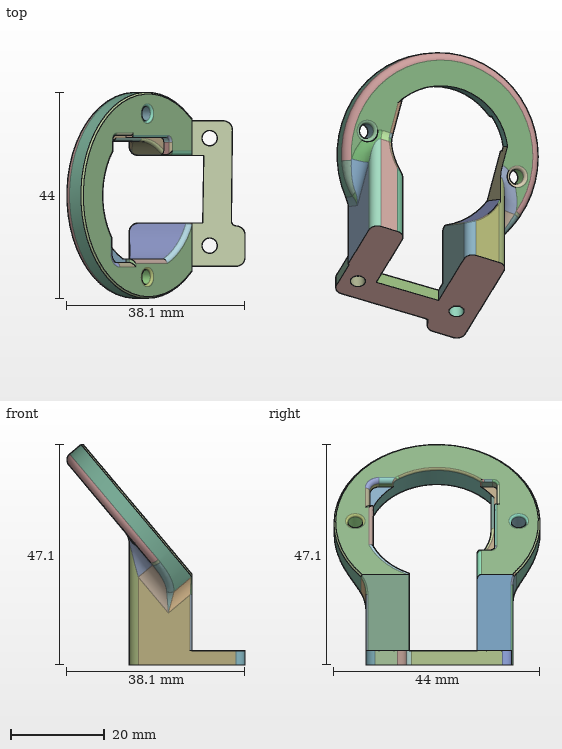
import cadquery as cq
import math

total_height = 47.1

post_depth = 13.45
left_post_inner_y = 8.47
left_post_outer_y = 16.2
right_post_inner_y = -5.9
right_post_outer_y = -15.15
post_corner_radius = 2.0
post_back_edge_radius = 0.42

left_blend_radius = 3.0
right_blend_radius = 4.0

foot_height = 3.1
foot_left_y = 15.9
foot_end_x = 22.1
foot_tab_end_x = 24.75
foot_tab_y = -6.5
foot_notch_x = 15.9
foot_skew = 0.25
foot_corner_radius = 2.0
foot_inner_corner_radius = 1.0
foot_hole_diameter = 3.2
foot_hole_x = 17.2
foot_hole_ys = (12.2, -10.75)

ring_tilt = 50
ring_centre_x = 4.15
ring_radius = 22.0
ring_thickness = 5.2
ring_top_chamfer = 0.4
ring_bottom_fillet = 1.65
ring_hole_diameter = 3.1
ring_hole_x = -0.35
ring_hole_y = 17.4
ring_hole_top_round = 0.5
ring_hole_bottom_round = 0.75

opening_radius = 14.85
opening_left_y = 11.5
opening_right_y = -13.55

pocket_depth = 2.0
pocket_start_x = -11.5
pocket_step_x = -5.15
left_pocket_y = 12.8
left_shelf_y = 12.3
left_shelf_end_x = 7.45
right_pocket_y = -14.3
left_pocket_corner = 1.0
right_pocket_corner = 2.0

right_mouth_round = 1.0
left_mouth_round = 0.45
slot_round = 1.0
shelf_floor_round = 0.7
left_scoop_round = 0.95
right_scoop_round = 0.3

spare_height = 14.12
cut_reach = 70.6
tolerance = 0.005

tilt = math.radians(ring_tilt)
ring_centre_z = total_height - ring_radius * math.sin(tilt) + ring_top_chamfer * math.cos(tilt)
ring_plane = cq.Plane(
    origin=(ring_centre_x, 0, ring_centre_z),
    xDir=(math.cos(tilt), 0, -math.sin(tilt)),
    normal=(math.sin(tilt), 0, math.cos(tilt)),
)


def ring_work(height=0):
    return cq.Workplane(ring_plane).workplane(offset=height)


def space_above(height):
    """Everything over the given height in the ring frame."""
    return ring_work(height).rect(2 * cut_reach, 2 * cut_reach).extrude(cut_reach)


def block(x_range, y_range, z_range):
    """Axis-aligned box between the given limits."""
    size = [high - low for low, high in (x_range, y_range, z_range)]
    corner = (x_range[0], y_range[0], z_range[0])
    return cq.Workplane("XY").box(*size, centered=False).translate(corner)


def near(value, target):
    return abs(value - target) < tolerance


def on_circle(local, radius):
    """True for a ring-frame point at the given distance from the ring axis."""
    return near(math.hypot(local.x, local.y), radius)


def select_edges(body, is_wanted):
    """Edges whose start, middle and end all satisfy is_wanted(global point, ring-frame point)."""
    chosen = []
    for edge in body.val().Edges():
        points = [edge.positionAt(fraction) for fraction in (0, 0.5, 1)]
        if all(is_wanted(point, ring_plane.toLocalCoords(point)) for point in points):
            chosen.append(edge)
    return body.newObject(chosen)


def round_edges(body, radius, is_wanted):
    return select_edges(body, is_wanted).fillet(radius)


def make_post(inner_y, outer_y):
    """Post with rounded front corners, running on past its back face until it is trimmed."""
    y_range = sorted((inner_y, outer_y))
    post = block((0, 2 * post_depth), y_range, (0, cut_reach))
    return post.edges("|Z and <X").fillet(post_corner_radius).cut(space_above(spare_height))


def make_blended_blank():
    """Untrimmed posts and disc, with hollow blends where the post flanks meet the disc."""
    blank = ring_work(-ring_thickness).circle(ring_radius).extrude(ring_thickness + spare_height)
    blank = blank.union(make_post(left_post_inner_y, left_post_outer_y))
    blank = blank.union(make_post(right_post_inner_y, right_post_outer_y))

    def blend(body, outer_y, radius):
        def is_joint(point, local):
            under_or_beside = near(local.z, -ring_thickness) or on_circle(local, ring_radius)
            return near(point.y, outer_y) and under_or_beside

        return round_edges(body, radius, is_joint)

    blank = blend(blank, right_post_outer_y, right_blend_radius)
    return blend(blank, left_post_outer_y, left_blend_radius)


def finish_rim(blank):
    """Cut the ring to height, round its lower rim and chamfer its upper rim."""
    body = blank.cut(space_above(0))
    body = round_edges(
        body,
        ring_bottom_fillet,
        lambda point, local: near(local.z, -ring_thickness) and on_circle(local, ring_radius),
    )
    upper_rim = select_edges(
        body, lambda point, local: near(local.z, 0) and on_circle(local, ring_radius)
    )
    return upper_rim.chamfer(ring_top_chamfer)


def make_opening():
    """Cutter along the ring axis, which also scoops out the post flanks."""
    left_x = math.sqrt(opening_radius**2 - opening_left_y**2)
    right_x = math.sqrt(opening_radius**2 - opening_right_y**2)
    half_angle = math.asin(opening_right_y / opening_radius) / 2
    small_arc_mid = opening_left_y * math.sqrt(0.5)
    large_arc_mid = (opening_radius * math.cos(half_angle), opening_radius * math.sin(half_angle))
    return (
        ring_work()
        .moveTo(-left_x, opening_left_y)
        .lineTo(0, opening_left_y)
        .threePointArc((small_arc_mid, small_arc_mid), (opening_left_y, 0))
        .lineTo(opening_radius, 0)
        .threePointArc(large_arc_mid, (right_x, opening_right_y))
        .lineTo(-right_x, opening_right_y)
        .threePointArc((-opening_radius, 0), (-left_x, opening_left_y))
        .close()
        .extrude(-cut_reach)
    )


def make_pocket(start_x, end_x, wall_y, rounded_x, corner_radius):
    """Pocket from the ring's middle out to wall_y, with its outer corner at rounded_x rounded."""
    pocket = (
        ring_work()
        .moveTo(start_x, 0)
        .lineTo(end_x, 0)
        .lineTo(end_x, wall_y)
        .lineTo(start_x, wall_y)
        .close()
        .extrude(-pocket_depth)
    )
    return round_edges(
        pocket,
        corner_radius,
        lambda point, local: near(local.x, rounded_x) and near(local.y, wall_y),
    )


def make_ring_hole(y):
    """Cutter for one ring hole, flared by a round at both mouths."""
    radius = ring_hole_diameter / 2
    top, bottom = ring_hole_top_round, ring_hole_bottom_round
    arc_inset = 1 - math.sqrt(0.5)
    axis_plane = cq.Plane(
        origin=ring_plane.toWorldCoords((ring_hole_x, y, 0)),
        xDir=ring_plane.yDir,
        normal=ring_plane.xDir,
    )
    return (
        cq.Workplane(axis_plane)
        .lineTo(radius + top, 0)
        .threePointArc((radius + top * arc_inset, -top * arc_inset), (radius, -top))
        .lineTo(radius, bottom - ring_thickness)
        .threePointArc(
            (radius + bottom * arc_inset, bottom * arc_inset - ring_thickness),
            (radius + bottom, -ring_thickness),
        )
        .lineTo(radius + bottom, -2 * ring_thickness)
        .lineTo(0, -2 * ring_thickness)
        .close()
        .revolve(360, (0, 0), (0, 1))
    )


def make_foot():
    """Plate joining the posts, with a tab on the -Y side and two screw holes."""
    overlap_x = post_depth - post_corner_radius
    inner_corner = (foot_end_x - foot_skew, foot_tab_y)
    outer_corners = [
        (foot_end_x, foot_left_y),
        (foot_tab_end_x, foot_tab_y),
        (foot_tab_end_x, right_post_outer_y),
    ]
    outline = [
        (overlap_x, foot_left_y),
        outer_corners[0],
        inner_corner,
        outer_corners[1],
        outer_corners[2],
        (overlap_x, right_post_outer_y),
        (overlap_x, right_post_inner_y),
        (foot_notch_x - foot_skew, right_post_inner_y),
        (foot_notch_x, left_post_inner_y),
        (overlap_x, left_post_inner_y),
    ]
    foot = cq.Workplane("XY").polyline(outline).close().extrude(foot_height)

    corner_radii = [(corner, foot_corner_radius) for corner in outer_corners]
    corner_radii.append((inner_corner, foot_inner_corner_radius))
    for (x, y), radius in corner_radii:
        foot = round_edges(foot, radius, lambda point, local: near(point.x, x) and near(point.y, y))

    hole_centres = [(foot_hole_x, y) for y in foot_hole_ys]
    holes = cq.Workplane("XY").pushPoints(hole_centres).circle(foot_hole_diameter / 2)
    return foot.cut(holes.extrude(foot_height))


def is_right_mouth(point, local):
    on_pocket = near(local.y, right_pocket_y) or near(local.x, pocket_step_x)
    on_arc = local.x > 0 and on_circle(local, opening_radius)
    on_wall = near(local.y, opening_right_y)
    return near(local.z, 0) and local.y < tolerance and (on_pocket or on_arc or on_wall)


def is_left_arc_mouth(point, local):
    return near(local.z, 0) and local.x < 0 and on_circle(local, opening_radius)


def is_left_pocket_mouth(point, local):
    return near(local.z, 0) and near(local.y, left_pocket_y)


def is_left_shelf_mouth(point, local):
    corner_x = local.x - (left_shelf_end_x - left_pocket_corner)
    corner_y = local.y - (left_shelf_y - left_pocket_corner)
    on_corner = near(math.hypot(corner_x, corner_y), left_pocket_corner)
    on_wall = near(local.x, left_shelf_end_x) or near(local.y, left_shelf_y)
    beyond_slot = local.y > left_post_inner_y - tolerance
    return near(local.z, 0) and beyond_slot and (on_wall or on_corner)


def is_slot_edge(point, local):
    return near(local.z, 0) and near(local.y, left_post_inner_y)


def is_shelf_floor_edge(point, local):
    on_arc = local.x > 0 and on_circle(local, opening_left_y)
    return near(local.z, -pocket_depth) and (near(local.y, opening_left_y) or on_arc)


def is_post_back_edge(point, local):
    on_flank = near(point.y, left_post_outer_y) or near(point.y, right_post_outer_y)
    return near(point.x, post_depth) and on_flank


def is_scoop_front_edge(point, local, radius):
    """Edge where a scooped flank runs out through the rounded front of its post."""
    within_front = point.x < post_corner_radius + tolerance
    return local.z < -ring_thickness - tolerance and within_front and on_circle(local, radius)


def is_left_scoop_edge(point, local):
    return local.y > 0 and is_scoop_front_edge(point, local, opening_left_y)


def is_right_scoop_edge(point, local):
    return local.y < 0 and is_scoop_front_edge(point, local, opening_radius)


body = finish_rim(make_blended_blank())
body = body.cut(make_opening())
body = body.cut(
    make_pocket(pocket_start_x, pocket_step_x, right_pocket_y, pocket_start_x, right_pocket_corner)
)
body = round_edges(body, right_mouth_round, is_right_mouth)
body = round_edges(body, left_mouth_round, is_left_arc_mouth)

body = body.cut(block((post_depth, cut_reach), (-cut_reach, cut_reach), (0, cut_reach)))
body = body.cut(block((0, post_depth), (right_post_inner_y, left_post_inner_y), (0, cut_reach)))
body = round_edges(body, slot_round, is_slot_edge)
body = round_edges(body, post_back_edge_radius, is_post_back_edge)
body = round_edges(body, right_scoop_round, is_right_scoop_edge)

body = body.cut(
    make_pocket(pocket_start_x, pocket_step_x, left_pocket_y, pocket_start_x, left_pocket_corner)
)
body = body.cut(
    make_pocket(pocket_step_x, left_shelf_end_x, left_shelf_y, left_shelf_end_x, left_pocket_corner)
)
body = round_edges(body, shelf_floor_round, is_shelf_floor_edge)
body = round_edges(body, left_scoop_round, is_left_scoop_edge)
body = round_edges(body, left_mouth_round, is_left_pocket_mouth)
body = round_edges(body, left_mouth_round, is_left_shelf_mouth)

body = body.union(make_foot())
for hole_y in (ring_hole_y, -ring_hole_y):
    body = body.cut(make_ring_hole(hole_y))

result = body.solids()